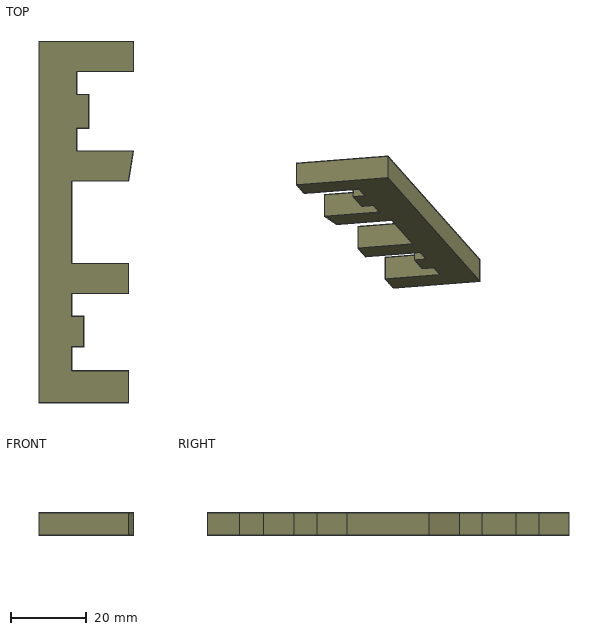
import cadquery as cq

length = 95.6
thickness = 6.0

lower_spine = 8.7
upper_spine = 10.0

finger_projection = 15.0
upper_reach = upper_spine + finger_projection
lower_reach = lower_spine + finger_projection
finger_width = 8.0

pad_height = 3.2
upper_pad_width = 9.0
lower_pad_width = 8.1
pad_gap = 6.0
lower_end_gap = 6.3

middle_gap = 21.7

upper_finger_bottom = length - finger_width
upper_pad_top = upper_finger_bottom - pad_gap
upper_pad_bottom = upper_pad_top - upper_pad_width
slanted_finger_top = upper_pad_bottom - pad_gap
slanted_finger_bottom = slanted_finger_top - finger_width
square_finger_top = slanted_finger_bottom - middle_gap
square_finger_bottom = square_finger_top - finger_width
lower_pad_top = square_finger_bottom - pad_gap
lower_pad_bottom = lower_pad_top - lower_pad_width
lower_finger_top = lower_pad_bottom - lower_end_gap


def notch_with_pad(spine, notch_top, pad_top, pad_bottom, notch_bottom):
    """Points down the floor of a notch that carries a low pad."""
    pad_face = spine + pad_height
    return [
        (spine, notch_top),
        (spine, pad_top),
        (pad_face, pad_top),
        (pad_face, pad_bottom),
        (spine, pad_bottom),
        (spine, notch_bottom),
    ]


back = [(0, 0), (0, length)]
upper_finger_tip = [(upper_reach, length), (upper_reach, upper_finger_bottom)]
upper_notch = notch_with_pad(
    upper_spine, upper_finger_bottom, upper_pad_top, upper_pad_bottom, slanted_finger_top
)
slanted_finger_tip = [(upper_reach, slanted_finger_top), (lower_reach, slanted_finger_bottom)]
middle_notch = [(lower_spine, slanted_finger_bottom), (lower_spine, square_finger_top)]
square_finger_tip = [(lower_reach, square_finger_top), (lower_reach, square_finger_bottom)]
lower_notch = notch_with_pad(
    lower_spine, square_finger_bottom, lower_pad_top, lower_pad_bottom, lower_finger_top
)
lower_finger_tip = [(lower_reach, lower_finger_top), (lower_reach, 0)]

outline = (
    back
    + upper_finger_tip
    + upper_notch
    + slanted_finger_tip
    + middle_notch
    + square_finger_tip
    + lower_notch
    + lower_finger_tip
)

result = cq.Workplane("XY").polyline(outline).close().extrude(thickness)